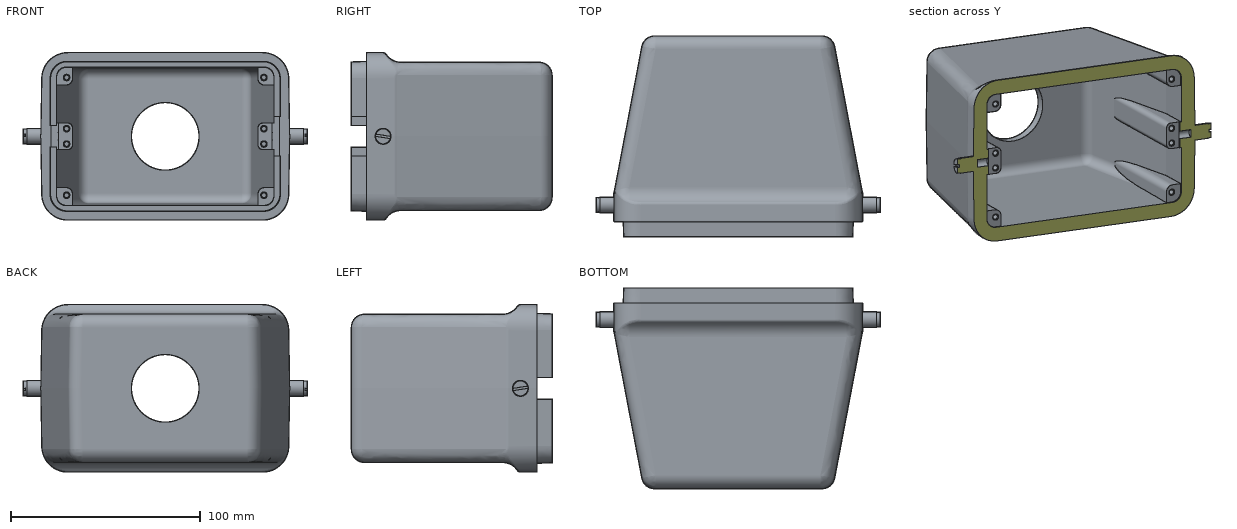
import cadquery as cq
import math


OVERALL_LENGTH = 150.0
OVERALL_HEIGHT = 88.5
OVERALL_DEPTH = 106.0

SIDE_SLOPE = 0.19
SIDE_DRAFT = 0.016
BODY_HALF_HEIGHT = 39.2
BODY_EDGE_RADIUS = 7.0

RIM_DEPTH = 8.0
COLLAR_HALF_WIDTH = 65.7
COLLAR_CORNER_RADIUS = 14.0
COLLAR_SIDE_END = 22.7
COLLAR_FLAT_END = 17.9
COLLAR_BLEND_END = 26.1
COLLAR_BACK_ROUND = 1.8
COLLAR_FRONT_ROUND = 0.5

RIM_HALF_WIDTH = 60.8
RIM_HALF_HEIGHT = 39.6
RIM_DRAFT_ANGLE = 2.0
RIM_CORNER_RADIUS = 9.0

CAVITY_HALF_WIDTH = 57.3
CAVITY_MOUTH_HALF_HEIGHT = 36.6
CAVITY_FLOOR_HALF_HEIGHT = 35.4
CAVITY_STRAIGHT_DEPTH = 34.4
END_WALL = 5.5
CAVITY_RADIUS = 5.1
CABLE_HOLE_DIAMETER = 35.5

POST_FACE_DEPTH = 17.3
POST_INNER_X = 48.9
SCREW_X = 52.0
CORNER_SCREW_Z = 31.0
CENTER_SCREW_Z = 4.0
CORNER_POST_Z = 27.0
CORNER_POST_RADIUS = 3.6
CENTER_POST_HALF_HEIGHT = 7.0
CENTER_POST_RADIUS = 2.7
SCREW_HOLE_DIAMETER = 2.5
SCREW_MOUTH_DIAMETER = 3.5
SCREW_HOLE_DEPTH = 15.0

NOTCH_DEPTH = 14.1
NOTCH_FLOOR_X = 60.3
LEFT_NOTCH_HALF_HEIGHT = 5.7
RIGHT_NOTCH_HALF_HEIGHT = 10.4
PAD_THICKNESS = 0.9

PIN_DEPTH = 16.8
PIN_DIAMETER = 8.4
PIN_TIP_DIAMETER = 8.0
PIN_TIP_LENGTH = 2.0
PIN_ROOT_X = 63.0
PIN_BORE_DIAMETER = 3.9
PIN_SLOT_WIDTH = 1.2
PIN_SLOT_DEPTH = 1.2
PIN_SLOT_ANGLE = 9.0

FLOOR_DEPTH = OVERALL_DEPTH - END_WALL
COLLAR_HALF_HEIGHT = OVERALL_HEIGHT / 2
PIN_END_X = OVERALL_LENGTH / 2
SIDES = (-1, 1)


def box(x_range, y_range, z_range):
    """Box between two limits, in any order, along each axis."""
    sizes = [abs(b - a) for a, b in (x_range, y_range, z_range)]
    middles = [(a + b) / 2 for a, b in (x_range, y_range, z_range)]
    return cq.Workplane("XY").box(*sizes).translate(tuple(middles))


def cylinder_y(x, z, depth, diameter, length):
    """Cylinder along +Y that starts at the given depth."""
    start = cq.Vector(x, depth, z)
    return cq.Workplane(cq.Solid.makeCylinder(diameter / 2, length, start, cq.Vector(0, 1, 0)))


def cylinder_x(x_start, x_end, diameter):
    """Cylinder on the pin axis between two X positions."""
    direction = cq.Vector(math.copysign(1, x_end - x_start), 0, 0)
    start = cq.Vector(x_start, PIN_DEPTH, 0)
    return cq.Workplane(cq.Solid.makeCylinder(diameter / 2, abs(x_end - x_start), start, direction))


def tapered_block(half_height):
    """Block that narrows toward the closed end and, by draft, away from Z = 0."""

    def half_width(depth, z):
        return COLLAR_HALF_WIDTH - SIDE_SLOPE * (depth - COLLAR_SIDE_END) - SIDE_DRAFT * z

    def half(direction):
        block = cq.Workplane("XY")
        for z in (0, half_height):
            near = half_width(RIM_DEPTH, z)
            far = half_width(OVERALL_DEPTH, z)
            block = block.workplane(offset=direction * z).polyline(
                [(-near, RIM_DEPTH), (near, RIM_DEPTH), (far, OVERALL_DEPTH), (-far, OVERALL_DEPTH)]
            ).close()
        return block.loft(ruled=True, combine=True)

    return half(1).union(half(-1))


def make_body():
    """Tapered body with rounded long edges and a rounded closed end."""
    body = tapered_block(BODY_HALF_HEIGHT)
    closed_end = body.faces(">Y").edges()
    long_edges = body.faces(">Z or <Z").edges("not(#Y)")
    return body.newObject(closed_end.vals() + long_edges.vals()).fillet(BODY_EDGE_RADIUS)


def make_blended_body():
    """Body standing on an oversize slab, with a concave blend all round its foot."""
    rise = COLLAR_HALF_HEIGHT - BODY_HALF_HEIGHT
    run = COLLAR_BLEND_END - COLLAR_FLAT_END
    blend_radius = (run**2 + rise**2) / (2 * rise)
    slab_end = COLLAR_BLEND_END - blend_radius
    slab_half_width = COLLAR_HALF_WIDTH + 2 * blend_radius
    slab_half_height = COLLAR_HALF_HEIGHT + 2 * blend_radius
    slab = box(
        (-slab_half_width, slab_half_width),
        (RIM_DEPTH, slab_end),
        (-slab_half_height, slab_half_height),
    )
    margin = blend_radius / 2
    foot_region = cq.selectors.BoxSelector(
        (margin - slab_half_width, slab_end - margin, margin - slab_half_height),
        (slab_half_width - margin, slab_end + margin, slab_half_height - margin),
    )
    foot_edges = make_body().union(slab).faces("|Y").edges(foot_region)
    return foot_edges.fillet(blend_radius)


def make_collar_envelope():
    """Prism with the collar's outline, its sides leaning inward from the parting line."""
    corner_half_width = COLLAR_HALF_WIDTH - SIDE_DRAFT * COLLAR_HALF_HEIGHT
    upper = [(COLLAR_HALF_WIDTH, 0), (corner_half_width, COLLAR_HALF_HEIGHT)]
    outline = upper + [(-x, z) for x, z in reversed(upper)]
    outline += [(-corner_half_width, -COLLAR_HALF_HEIGHT), (corner_half_width, -COLLAR_HALF_HEIGHT)]
    start = cq.Workplane("XZ", origin=(0, RIM_DEPTH, 0))
    prism = start.polyline(outline).close().extrude(RIM_DEPTH - OVERALL_DEPTH)
    return prism.edges("|Y").edges(">Z or <Z").fillet(COLLAR_CORNER_RADIUS)


def make_outer_hood():
    """Body and collar in one piece, with the collar's edges rounded."""
    hood = make_blended_body().intersect(make_collar_envelope())
    hood = hood.faces("<Y").edges().fillet(COLLAR_FRONT_ROUND)
    return hood.faces(">Z or <Z").edges(">Y").fillet(COLLAR_BACK_ROUND)


def make_rim():
    """Rim in front of the collar, slightly narrower at the mouth."""
    base = cq.Sketch().rect(2 * RIM_HALF_WIDTH, 2 * RIM_HALF_HEIGHT).vertices().fillet(RIM_CORNER_RADIUS)
    start = cq.Workplane("XZ", origin=(0, RIM_DEPTH, 0))
    return start.placeSketch(base).extrude(RIM_DEPTH, taper=RIM_DRAFT_ANGLE)


def make_pin(side):
    """Locking pin with a stepped tip and a screwdriver slot."""
    tip_start = PIN_END_X - PIN_TIP_LENGTH
    pin = cylinder_x(side * PIN_ROOT_X, side * tip_start, PIN_DIAMETER)
    pin = pin.union(cylinder_x(side * tip_start, side * PIN_END_X, PIN_TIP_DIAMETER))
    slot = box(
        (side * (PIN_END_X - PIN_SLOT_DEPTH), side * PIN_END_X),
        (PIN_DEPTH - PIN_DIAMETER, PIN_DEPTH + PIN_DIAMETER),
        (-PIN_SLOT_WIDTH / 2, PIN_SLOT_WIDTH / 2),
    )
    return pin.cut(slot.rotate((0, PIN_DEPTH, 0), (1, PIN_DEPTH, 0), -PIN_SLOT_ANGLE))


def make_open_cavity():
    """Cavity without posts: straight near the mouth, then narrowing like the body."""
    floor_half_width = CAVITY_HALF_WIDTH - SIDE_SLOPE * (FLOOR_DEPTH - CAVITY_STRAIGHT_DEPTH)
    right_side = [
        (CAVITY_HALF_WIDTH, 0),
        (CAVITY_HALF_WIDTH, CAVITY_STRAIGHT_DEPTH),
        (floor_half_width, FLOOR_DEPTH),
    ]
    plan = right_side + [(-x, y) for x, y in reversed(right_side)]
    upper_side = [(0, CAVITY_MOUTH_HALF_HEIGHT), (FLOOR_DEPTH, CAVITY_FLOOR_HALF_HEIGHT)]
    profile = upper_side + [(y, -z) for y, z in reversed(upper_side)]
    cavity = cq.Workplane("XY").polyline(plan).close().extrude(CAVITY_MOUTH_HALF_HEIGHT, both=True)
    cavity = cavity.intersect(
        cq.Workplane("YZ").polyline(profile).close().extrude(CAVITY_HALF_WIDTH, both=True)
    )
    corner_edges = cavity.edges("not(#Y)").edges("not(|X)").edges("not(|Z)")
    floor_edges = cavity.faces(">Y").edges()
    return cavity.newObject(corner_edges.vals() + floor_edges.vals()).fillet(CAVITY_RADIUS)


def make_posts(side):
    """Two corner posts and a double middle post on one side wall, with the pad below the notch."""
    x_range = (side * POST_INNER_X, side * COLLAR_HALF_WIDTH)
    y_range = (POST_FACE_DEPTH, OVERALL_DEPTH)
    inner_edges = "<X" if side > 0 else ">X"
    posts = box(x_range, y_range, (-CENTER_POST_HALF_HEIGHT, CENTER_POST_HALF_HEIGHT))
    posts = posts.edges("|Y").edges(inner_edges).fillet(CENTER_POST_RADIUS)
    for level in SIDES:
        corner = box(x_range, y_range, (level * CORNER_POST_Z, level * COLLAR_HALF_HEIGHT))
        middle_edge = "<Z" if level > 0 else ">Z"
        corner = corner.edges("|Y").edges(inner_edges).edges(middle_edge).fillet(CORNER_POST_RADIUS)
        posts = posts.union(corner)
    pad = box(
        (side * (CAVITY_HALF_WIDTH - PAD_THICKNESS), side * COLLAR_HALF_WIDTH),
        (NOTCH_DEPTH, POST_FACE_DEPTH),
        (-CENTER_POST_HALF_HEIGHT, CENTER_POST_HALF_HEIGHT),
    )
    return posts.union(pad)


def make_screw_hole(x, z):
    """Blind screw hole with a countersunk mouth."""
    countersink_depth = (SCREW_MOUTH_DIAMETER - SCREW_HOLE_DIAMETER) / 2
    hole = cylinder_y(x, z, POST_FACE_DEPTH, SCREW_HOLE_DIAMETER, SCREW_HOLE_DEPTH)
    countersink = cq.Solid.makeCone(
        SCREW_MOUTH_DIAMETER / 2,
        SCREW_HOLE_DIAMETER / 2,
        countersink_depth,
        cq.Vector(x, POST_FACE_DEPTH, z),
        cq.Vector(0, 1, 0),
    )
    return hole.union(cq.Workplane(countersink))


def make_notch(side, half_height):
    """Notch through the rim that continues as a recess in the wall behind the collar."""
    wall_x = side * (CAVITY_HALF_WIDTH - PAD_THICKNESS)
    recess = box((wall_x, side * NOTCH_FLOOR_X), (0, NOTCH_DEPTH), (-half_height, half_height))
    gap = box((wall_x, side * RIM_HALF_WIDTH), (0, RIM_DEPTH), (-half_height, half_height))
    return recess.union(gap)


result = make_outer_hood()
result = result.union(make_rim())
for pin_side in SIDES:
    result = result.union(make_pin(pin_side))

cavity = make_open_cavity()
for post_side in SIDES:
    cavity = cavity.cut(make_posts(post_side))
result = result.cut(cavity)
result = result.cut(cylinder_y(0, 0, FLOOR_DEPTH, CABLE_HOLE_DIAMETER, END_WALL))

result = result.cut(make_notch(-1, LEFT_NOTCH_HALF_HEIGHT))
result = result.cut(make_notch(1, RIGHT_NOTCH_HALF_HEIGHT))
for hole_side in SIDES:
    bore_start = hole_side * (CAVITY_HALF_WIDTH - PAD_THICKNESS)
    result = result.cut(cylinder_x(bore_start, hole_side * PIN_ROOT_X, PIN_BORE_DIAMETER))
    for screw_z in (-CORNER_SCREW_Z, -CENTER_SCREW_Z, CENTER_SCREW_Z, CORNER_SCREW_Z):
        result = result.cut(make_screw_hole(hole_side * SCREW_X, screw_z))